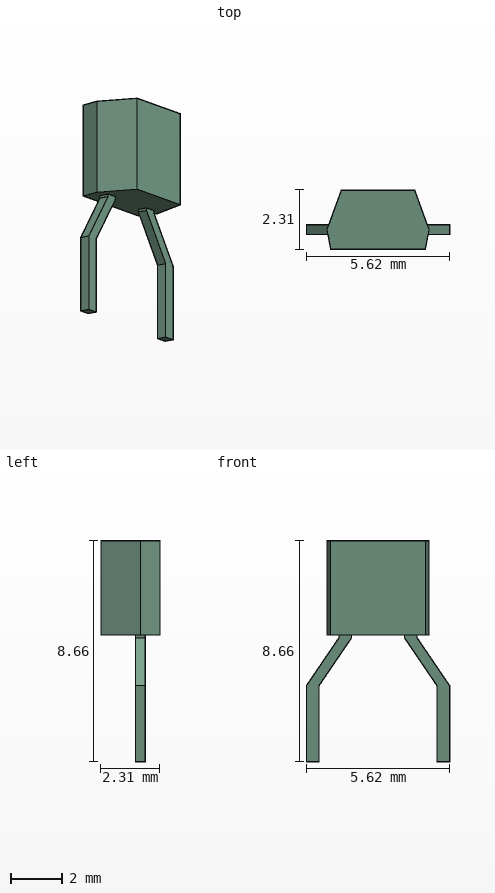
import cadquery as cq

total_height = 8.66
lead_span = 5.62

body_height = 3.7
body_depth = 2.31
body_width = 4.0
front_width = 3.715
back_width = 2.88
parting_depth = 0.77

lead_width = 0.5
lead_thickness = 0.4
lead_front_depth = 0.57
lead_top_outer = 1.53
stub_length = 0.1
foot_height = 2.98

body_bottom = total_height - body_height
upper_bend = body_bottom - stub_length


def make_body():
    right_half = [
        (front_width / 2, 0),
        (body_width / 2, parting_depth),
        (back_width / 2, body_depth),
    ]
    left_half = [(-x, y) for x, y in reversed(right_half)]
    return (
        cq.Workplane("XY", origin=(0, 0, body_bottom))
        .polyline(right_half + left_half)
        .close()
        .extrude(body_height)
    )


def make_lead(side):
    """Splayed lead on the +X (side = 1) or -X (side = -1) half."""
    foot_outer = lead_span / 2
    outer_edge = [
        (foot_outer, 0),
        (foot_outer, foot_height),
        (lead_top_outer, upper_bend),
        (lead_top_outer, body_bottom),
    ]
    inner_edge = [(x - lead_width, z) for x, z in reversed(outer_edge)]
    outline = [(side * x, z) for x, z in outer_edge + inner_edge]
    return (
        cq.Workplane("XZ", origin=(0, lead_front_depth, 0))
        .polyline(outline)
        .close()
        .extrude(-lead_thickness)
    )


result = make_body()
for side in (-1, 1):
    result = result.union(make_lead(side))